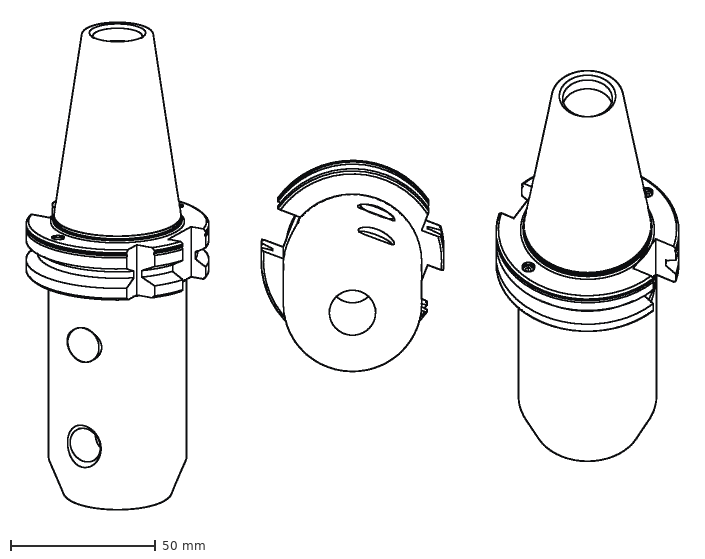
import cadquery as cq
import math

total_height = 168.4
flange_bottom = 81.0
flange_top = 99.4
taper_start = 101.4

taper_slope = 7 / 48
taper_base_radius = 44.3 / 2
taper_top_radius = taper_base_radius - taper_slope * (total_height - taper_start)
shank_top_fillet = 1.0
neck_radius = 21.9
neck_collar_radius = 22.4
neck_collar_height = 1.0
neck_foot_radius = 23.2
neck_foot_height = 0.5

body_radius = 48.0 / 2
body_relief_depth = 0.5
body_relief_width = 1.2
nose_height = 13.1
nose_radius = 18.7
nose_edge_fillet = 1.0
nose_shoulder_fillet = 1.7

flange_radius = 63.5 / 2
flange_edge = 0.8
groove_floor_radius = 27.8
groove_middle = 89.0
groove_width = 7.0
groove_step_width = 3.5
groove_floor_width = 2.4
groove_wall_angle = 30
mark_top = 98.0
mark_width = 1.3
mark_depth = 0.3

slot_width = 15.8
slot_round_center = 80.2
deep_slot_floor = 22.7
shallow_slot_floor = 25.0
notch_x = 18.5
notch_y = 18.7

coolant_circle_radius = 27.0
coolant_angle = 70
coolant_mouth_radius = 2.2
coolant_mouth_depth = 0.5
coolant_screw_radius = 1.9
coolant_screw_depth = 1.3
coolant_socket_corners = 2.0
coolant_socket_sides = 6
coolant_socket_depth = 3.4

stud_mouth_radius = 9.8
stud_counterbore_radius = 8.6
stud_counterbore_depth = 5.7
stud_hole_radius = 14.3 / 2
stud_hole_depth = 7.2
drill_point_angle = 118

bore_radius = 16.0 / 2
bore_depth = 50.5
clamp_height = 24.0
clamp_radius = 6.0
clamp_mouth_radius = 15.3 / 2

plug_height = 61.1
plug_face_radius = 6.2
plug_chamfer = 0.8
plug_recess = 0.3
plug_length = 3.4
plug_dimple_radius = 7.2 / 2
plug_dimple_depth = 0.25


def disc(radius, bottom, top):
    return cq.Workplane("XY").workplane(offset=bottom).circle(radius).extrude(top - bottom)


def side_rod(radius, height, outer, inner):
    """Cylinder pointing along Y on the -Y side, between two distances from the axis."""
    start = cq.Workplane("XZ", origin=(0, -inner, height))
    return start.circle(radius).extrude(outer - inner)


def revolved(points):
    return cq.Workplane("XZ").polyline(points).close().revolve(360, (0, 0, 0), (0, 1, 0))


def make_body():
    body = revolved([(0, 0), (nose_radius, 0), (body_radius, nose_height), (body_radius, flange_bottom),
                     (0, flange_bottom)])
    body = body.faces("<Z").edges().fillet(nose_edge_fillet)
    near_shoulder = cq.selectors.BoxSelector(
        (-body_radius, -body_radius, nose_height / 2),
        (body_radius, body_radius, flange_bottom / 2))
    return body.edges("%CIRCLE").edges(near_shoulder).fillet(nose_shoulder_fillet)


def make_body_relief():
    """Narrow groove around the body where it meets the flange."""
    bottom = flange_bottom - body_relief_width
    relief_radius = body_radius - body_relief_depth
    return disc(flange_radius, bottom, flange_bottom).cut(disc(relief_radius, bottom, flange_bottom))


def make_flange():
    flange = disc(flange_radius, flange_bottom, flange_top).edges().chamfer(flange_edge)
    wall_depth = (groove_width - groove_step_width) / 2 / math.tan(math.radians(groove_wall_angle))
    groove_half = [(flange_radius, groove_width / 2),
                   (flange_radius - wall_depth, groove_step_width / 2),
                   (groove_floor_radius, groove_floor_width / 2)]
    upper_half = [(radius, groove_middle + offset) for radius, offset in groove_half]
    lower_half = [(radius, groove_middle - offset) for radius, offset in groove_half]
    groove = revolved(upper_half + lower_half[::-1])
    mark = revolved([(flange_radius, mark_top), (flange_radius - mark_depth, mark_top - mark_width / 2),
                     (flange_radius, mark_top - mark_width)])
    return flange.cut(groove).cut(mark)


def make_shank():
    collar_top = flange_top + neck_collar_height
    neck = revolved([(0, flange_top), (neck_foot_radius, flange_top),
                     (neck_collar_radius, flange_top + neck_foot_height), (neck_collar_radius, collar_top),
                     (neck_radius, collar_top), (neck_radius, taper_start), (0, taper_start)])
    taper = revolved([(0, taper_start), (taper_base_radius, taper_start), (taper_top_radius, total_height),
                      (0, total_height)])
    return neck.union(taper.faces(">Z").edges().fillet(shank_top_fillet))


def make_drive_slot(floor, side):
    length = flange_radius
    middle = side * (floor + length / 2)
    height = flange_top - slot_round_center
    upper = cq.Workplane("XY").box(length, slot_width, height, centered=(True, True, False))
    upper = upper.translate((middle, 0, slot_round_center))
    end = cq.Workplane("YZ").circle(slot_width / 2).extrude(length / 2, both=True)
    return upper.union(end.translate((middle, 0, slot_round_center)))


def make_notch():
    size = flange_radius
    notch = cq.Workplane("XY").box(size, size, flange_top - flange_bottom, centered=False)
    return notch.translate((notch_x, -notch_y - size, flange_bottom))


def make_coolant_hole(angle):
    x = coolant_circle_radius * math.cos(math.radians(angle))
    y = coolant_circle_radius * math.sin(math.radians(angle))
    face = cq.Workplane("XY", origin=(x, y, flange_top))
    mouth = cq.Solid.makeCone(coolant_mouth_radius, coolant_screw_radius, coolant_mouth_depth,
                              pnt=cq.Vector(x, y, flange_top), dir=cq.Vector(0, 0, -1))
    recess = face.circle(coolant_screw_radius).extrude(-coolant_screw_depth)
    socket = face.polygon(coolant_socket_sides, coolant_socket_corners).extrude(-coolant_socket_depth)
    return recess.union(cq.Workplane(mouth)).union(socket)


def make_stud_socket():
    mouth_depth = stud_mouth_radius - stud_counterbore_radius
    ledge = total_height - stud_counterbore_depth
    floor = total_height - stud_hole_depth
    tip = floor - stud_hole_radius / math.tan(math.radians(drill_point_angle / 2))
    return revolved([(0, total_height), (stud_mouth_radius, total_height),
                     (stud_counterbore_radius, total_height - mouth_depth), (stud_counterbore_radius, ledge),
                     (stud_hole_radius, floor), (0, tip)])


def make_clamp_hole():
    hole = side_rod(clamp_radius, clamp_height, flange_radius, 0)
    flare = clamp_mouth_radius - clamp_radius
    mouth = cq.Solid.makeCone(clamp_mouth_radius, clamp_radius, flare,
                              pnt=cq.Vector(0, -body_radius, clamp_height), dir=cq.Vector(0, 1, 0))
    return hole.union(cq.Workplane(mouth))


def add_plug(part):
    face = body_radius - plug_recess
    part = part.cut(side_rod(plug_face_radius, plug_height, body_radius, face))
    plug = side_rod(plug_face_radius + plug_chamfer, plug_height, face, face - plug_length)
    part = part.union(plug.faces("<Y").edges().chamfer(plug_chamfer))
    dish_radius = (plug_dimple_radius**2 + plug_dimple_depth**2) / (2 * plug_dimple_depth)
    dish = cq.Workplane("XY").sphere(dish_radius)
    return part.cut(dish.translate((0, -face - dish_radius + plug_dimple_depth, plug_height)))


result = make_body().cut(make_body_relief()).union(make_flange()).union(make_shank())
result = result.cut(make_drive_slot(deep_slot_floor, -1)).cut(make_drive_slot(shallow_slot_floor, 1))
result = result.cut(make_notch())
for angle in (coolant_angle, coolant_angle + 180):
    result = result.cut(make_coolant_hole(angle))
result = result.cut(make_stud_socket())
result = result.cut(disc(bore_radius, 0, bore_depth))
result = result.cut(make_clamp_hole())
result = add_plug(result)